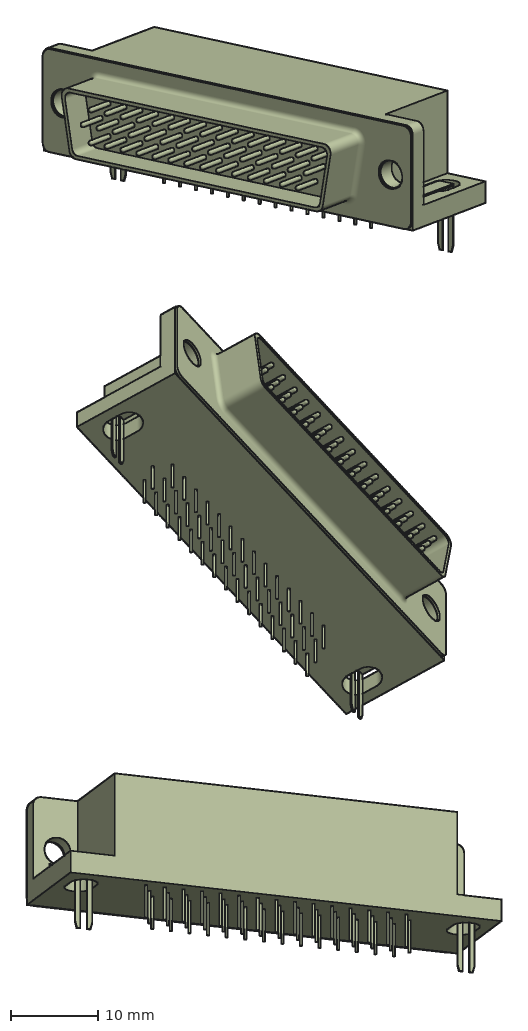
import cadquery as cq
import math


housing_width = 53.1
housing_height = 12.5
housing_top = housing_height / 2
housing_bottom = -housing_height / 2
housing_back = 14.17
body_width = 42.2
ear_height = 2.6
ear_top = housing_bottom + ear_height
flange_back = 2.35
corner_radius = 1.0

plate_inset = 0.07
plate_thickness = 0.3

mount_spacing = 47.1
mount_hole_diameter = 3.2
plate_hole_diameter = 3.4

shell_length = 5.82
shell_width = 38.7
shell_height = 8.3
shell_wall = 0.45
shell_floor = -2.0
shell_corner_radius = 1.0
shell_inner_radius = 0.8
shell_root_radius = 0.6
shell_slant = 10.0
selection_margin = 0.05

pin_pitch = 2.29
row_spacing = 1.98
row_pin_counts = (15, 15, 14)
contact_diameter = 0.6
contact_tip = -5.65
solder_diameter = 0.3
solder_bottom = housing_top - 16.4
solder_middle_row = housing_back - 3.6
pin_embed = 1.0

strap_thickness = 0.2
strap_width = 2.1
strap_back = housing_back - 3.5
strap_clearance_diameter = 4.0
leg_gap = 0.84
leg_bottom = housing_top - 17.9
leg_taper_width = 0.22
leg_taper_height = 0.75

slot_width = 3.2
slot_length = 4.9
slot_back = housing_back - 1.95


def block(x_min, x_max, y_min, y_max, z_min, z_max):
    """Box between two opposite corners."""
    size = (x_max - x_min, y_max - y_min, z_max - z_min)
    return cq.Workplane("XY").box(*size, centered=False).translate((x_min, y_min, z_min))


def along_y(y):
    """Workplane at the given Y whose extrusions run toward -Y, with local axes X and Z."""
    return cq.Workplane("XZ", origin=(0, y, 0))


def housing():
    half_width = housing_width / 2
    half_body = body_width / 2
    body = block(-half_body, half_body, plate_thickness, housing_back, housing_bottom, housing_top)
    ears = block(-half_width, half_width, plate_thickness, housing_back, housing_bottom, ear_top)
    flange = block(-half_width, half_width, plate_thickness, flange_back, housing_bottom, housing_top)
    flange = flange.edges("|Y and >Z").fillet(corner_radius)
    return body.union(ears).union(flange)


def flange_plate():
    width = housing_width - 2 * plate_inset
    height = housing_height - 2 * plate_inset
    plate = along_y(plate_thickness).rect(width, height).extrude(plate_thickness)
    return plate.edges("|Y").fillet(corner_radius)


def shell_prism(inset, radius, start_y):
    """Rounded trapezoid prism from start_y to the shell rim, inset from the outer shell surface."""
    slant = math.radians(shell_slant)
    half_height = shell_height / 2 - inset
    arc_center_x = shell_width / 2 - shell_corner_radius
    arc_center_z = shell_height / 2 - shell_corner_radius
    side_x = arc_center_x + (shell_corner_radius - inset) / math.cos(slant)
    top_x = side_x + (half_height - arc_center_z) * math.tan(slant)
    bottom_x = side_x - (half_height + arc_center_z) * math.tan(slant)
    corners = [
        (-top_x, half_height),
        (top_x, half_height),
        (bottom_x, -half_height),
        (-bottom_x, -half_height),
    ]
    prism = along_y(start_y).polyline(corners).close().extrude(start_y + shell_length)
    return prism.edges("|Y").fillet(radius)


def flange_plate_with_shell():
    """Metal flange and mating shell, blended at the shell root and hollowed to the contact floor."""
    shell = shell_prism(0, shell_corner_radius, 0)
    half_x = shell_width / 2 + selection_margin
    half_z = shell_height / 2 + selection_margin
    around_root = cq.selectors.BoxSelector(
        (-half_x, -selection_margin, -half_z),
        (half_x, selection_margin, half_z),
    )
    metal = flange_plate().union(shell).edges(around_root).fillet(shell_root_radius)
    return metal.cut(shell_prism(shell_wall, shell_inner_radius, shell_floor))


def cut_mounting_holes(solid):
    """Holes through the flange, slightly wider in the metal plate than in the plastic."""
    centers = [(-mount_spacing / 2, 0), (mount_spacing / 2, 0)]
    plastic_holes = along_y(flange_back).pushPoints(centers)
    plate_holes = along_y(plate_thickness).pushPoints(centers)
    solid = solid.cut(plastic_holes.circle(mount_hole_diameter / 2).extrude(flange_back))
    return solid.cut(plate_holes.circle(plate_hole_diameter / 2).extrude(plate_thickness))


def cut_ear_slots(solid):
    slot_y = slot_back - slot_length / 2
    slots = (
        cq.Workplane("XY", origin=(0, slot_y, housing_bottom))
        .pushPoints([(-mount_spacing / 2, 0), (mount_spacing / 2, 0)])
        .slot2D(slot_length, slot_width, 90)
        .extrude(ear_height)
    )
    return solid.cut(slots)


def strap(x):
    """Bent strap: upright behind the flange, flat run over the ear, split legs down the slot."""
    half = strap_width / 2
    top = ear_top + strap_thickness
    flat = block(-half, half, flange_back, strap_back, top - strap_thickness, top)
    upright = block(-half, half, flange_back, flange_back + strap_thickness, ear_top, 0)
    clearance = along_y(flange_back + strap_thickness).circle(strap_clearance_diameter / 2)
    upright = upright.cut(clearance.extrude(strap_thickness))
    leg_outline = [
        (leg_gap / 2, top),
        (half, top),
        (half, leg_bottom + leg_taper_height),
        (half - leg_taper_width, leg_bottom),
        (leg_gap / 2, leg_bottom),
    ]
    leg = along_y(strap_back).polyline(leg_outline).close().extrude(strap_thickness)
    legs = leg.union(leg.mirror("YZ"))
    return flat.union(upright).union(legs).translate((x, 0, 0))


def pin_positions():
    """X, contact row Z and solder row Y of every pin."""
    half_pitch = pin_pitch / 2
    first_x = -(2 * row_pin_counts[0] - 1) * half_pitch / 2
    positions = []
    for row, count in enumerate(row_pin_counts):
        row_start = first_x if row == 1 else first_x + half_pitch
        offset = (1 - row) * row_spacing
        for index in range(count):
            positions.append((row_start + index * pin_pitch, offset, solder_middle_row + offset))
    return positions


def domed_pin(diameter, length):
    """Pin along -Z from the origin, ending in a hemisphere."""
    radius = diameter / 2
    shoulder = radius - length
    arc_middle = (radius * math.sqrt(0.5), shoulder - radius * math.sqrt(0.5))
    profile = (
        cq.Workplane("XZ")
        .lineTo(radius, 0)
        .lineTo(radius, shoulder)
        .threePointArc(arc_middle, (0, -length))
        .close()
    )
    return profile.revolve(360, (0, 0), (0, 1))


def add_pins(solid):
    contact = domed_pin(contact_diameter, pin_embed - contact_tip).rotate((0, 0, 0), (1, 0, 0), -90)
    solder_top = housing_bottom + pin_embed
    solder_pin = domed_pin(solder_diameter, solder_top - solder_bottom)
    pins = []
    for x, contact_z, solder_y in pin_positions():
        pins.append(contact.val().translate(cq.Vector(x, pin_embed, contact_z)))
        pins.append(solder_pin.val().translate(cq.Vector(x, solder_y, solder_top)))
    return solid.union(cq.Workplane(cq.Compound.makeCompound(pins)))


result = housing().union(flange_plate_with_shell())
result = cut_mounting_holes(result)
result = cut_ear_slots(result)
for side in (-1, 1):
    result = result.union(strap(side * mount_spacing / 2))
result = add_pins(result)